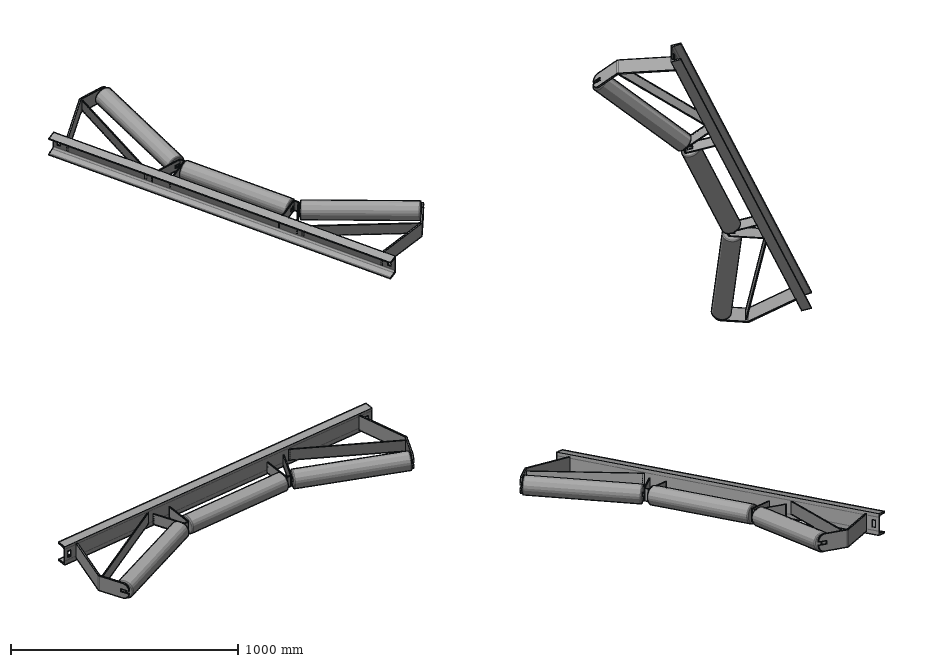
import cadquery as cq
import math

BEAM_LENGTH = 1697.0
BEAM_HEIGHT = 100.0
FLANGE_WIDTH = 46.0
WEB_THICKNESS = 5.0
FLANGE_TIP_THICKNESS = 7.0
FLANGE_ROOT_THICKNESS = 10.0
ROOT_RADIUS = 9.0
TIP_RADIUS = 3.0
BOLT_SLOT_SPACING = 1642.0
BOLT_SLOT_WIDTH = 15.0
BOLT_SLOT_HEIGHT = 32.0

ROLLER_RADIUS = 45.0
ROLLER_LENGTH = 530.0
ROLLER_FILLET = 5.0
SHAFT_RADIUS = 12.0
SHAFT_FLATS = 14.0
PLATE_GAP = 3.0
WING_INNER_GAP = 2.0
TROUGH_ANGLE = 25
FORWARD_TILT = 2
CENTRE_ROLLER_Y = 165.0
CENTRE_ROLLER_Z = 30.0
WING_ROLLER_X = 549.0
WING_ROLLER_Y = 289.0

SLOT_WIDTH = 15.0
OUTER_HEIGHT = 80.0
OUTER_THICKNESS = 7.7
OUTER_REACH = 850
OUTER_LEG_ANGLE = 14.8
OUTER_TOP_LENGTH = 29.0
OUTER_CORNER_RADIUS = 30.0
OUTER_BEND_RADIUS = 14.0
INNER_HEIGHT = 58.0
INNER_BASE_Z = 5.0
INNER_THICKNESS = 5.0
INNER_TOP_Y = 189.0
INNER_BEND_RADIUS = 7.0
BRACE_HEIGHT = 60.0
BRACE_THICKNESS = 5.0
BRACE_ANGLE = 29.7
BRACE_RISE = 5.0

SIDES = (-1, 1)
WING_ROLLER_Z = CENTRE_ROLLER_Z + ROLLER_LENGTH / 2 * math.sin(math.radians(FORWARD_TILT))
PLATE_OFFSET = ROLLER_LENGTH / 2 + PLATE_GAP
COS_TROUGH = math.cos(math.radians(TROUGH_ANGLE))
SIN_TROUGH = math.sin(math.radians(TROUGH_ANGLE))
TAN_TROUGH = math.tan(math.radians(TROUGH_ANGLE))


def make_beam():
    """Channel with tapered flanges and a bolt slot near each end."""
    half = BEAM_HEIGHT / 2
    web_face = FLANGE_WIDTH - WEB_THICKNESS
    beam = (
        cq.Workplane("YZ", origin=(-BEAM_LENGTH / 2, 0, half))
        .moveTo(FLANGE_WIDTH, -half)
        .lineTo(FLANGE_WIDTH, half)
        .lineTo(0, half)
        .lineTo(0, half - FLANGE_TIP_THICKNESS)
        .lineTo(web_face, half - FLANGE_ROOT_THICKNESS)
        .lineTo(web_face, FLANGE_ROOT_THICKNESS - half)
        .lineTo(0, FLANGE_TIP_THICKNESS - half)
        .lineTo(0, -half)
        .close()
        .extrude(BEAM_LENGTH)
    )

    def inner_edges(y, thickness):
        for z in (thickness, BEAM_HEIGHT - thickness):
            yield cq.selectors.NearestToPointSelector((0, y, z))

    for selector in inner_edges(web_face, FLANGE_ROOT_THICKNESS):
        beam = beam.edges("|X").edges(selector).fillet(ROOT_RADIUS)
    for selector in inner_edges(0, FLANGE_TIP_THICKNESS):
        beam = beam.edges("|X").edges(selector).fillet(TIP_RADIUS)
    bolt_slots = (
        cq.Workplane("XZ", origin=(0, 0, half))
        .pushPoints([(side * BOLT_SLOT_SPACING / 2, 0) for side in SIDES])
        .rect(BOLT_SLOT_WIDTH, BOLT_SLOT_HEIGHT)
        .extrude(-FLANGE_WIDTH)
    )
    return beam.cut(bolt_slots)


def roller_plane(side):
    """Frame of a roller: x along its axis, z across the slots. Side 0 is the centre roller."""
    if side == 0:
        return cq.Plane((0, CENTRE_ROLLER_Y, CENTRE_ROLLER_Z), (1, 0, 0), (0, 0, 1))
    plane = cq.Plane((side * WING_ROLLER_X, WING_ROLLER_Y, WING_ROLLER_Z), (1, 0, 0), (0, 0, 1))
    return plane.rotated((0, 0, side * TROUGH_ANGLE)).rotated((0, -side * FORWARD_TILT, 0))


def make_roller(side):
    """Round-edged roller with a shaft whose ends are flattened to sit in the bracket slots."""
    plane = roller_plane(side)
    across = cq.Plane(plane.origin, plane.zDir, plane.xDir)
    shell = (
        cq.Workplane(across)
        .workplane(offset=-ROLLER_LENGTH / 2)
        .circle(ROLLER_RADIUS)
        .extrude(ROLLER_LENGTH)
        .faces("%PLANE")
        .edges()
        .fillet(ROLLER_FILLET)
    )
    shaft_reach = PLATE_OFFSET + INNER_THICKNESS
    shaft = cq.Workplane(across).circle(SHAFT_RADIUS).extrude(shaft_reach, both=True)
    flats = cq.Workplane(plane).box(2 * shaft_reach, 2 * SHAFT_RADIUS, SHAFT_FLATS)
    return shell.union(shaft.intersect(flats))


def shaft_slots(side, depth):
    """Cutter for slots of the given depth at both ends of a roller, bottoming under its shaft."""
    length = 2 * (PLATE_OFFSET + OUTER_THICKNESS + PLATE_GAP)
    return (
        cq.Workplane(roller_plane(side))
        .center(0, depth / 2 - SHAFT_RADIUS)
        .box(length, depth, SLOT_WIDTH)
    )


def mitred_face(path, thickness):
    """Plan path of the opposite face of a bar, on the right of the given path."""
    directions = []
    for (x0, y0), (x1, y1) in zip(path, path[1:]):
        run = math.hypot(x1 - x0, y1 - y0)
        directions.append(((x1 - x0) / run, (y1 - y0) / run))
    befores = [directions[0]] + directions
    afters = directions + [directions[-1]]
    far_face = []
    for (x, y), (ax, ay), (bx, by) in zip(path, befores, afters):
        mitre = thickness / (1 + ax * bx + ay * by)
        far_face.append((x + mitre * (ay + by), y - mitre * (ax + bx)))
    return far_face


def round_bend(bar, corner, radius, side):
    at_corner = cq.selectors.NearestToPointSelector((side * corner[0], corner[1], BEAM_HEIGHT / 2))
    return bar.edges("|Z").edges(at_corner).fillet(radius)


def flat_bar(path, thickness, height, middle_z, side):
    """Upright bar on the plan path of its left face, trimmed at the back of the web."""
    outline = path + mitred_face(path, thickness)[::-1]
    bar = (
        cq.Workplane("XY", origin=(0, 0, middle_z))
        .polyline([(side * x, y) for x, y in outline])
        .close()
        .extrude(height / 2, both=True)
    )
    space_behind_web = (
        cq.Workplane("XY", origin=(0, FLANGE_WIDTH, 0))
        .box(3 * OUTER_REACH, OUTER_REACH, 3 * BEAM_HEIGHT, centered=(True, False, True))
    )
    return bar.intersect(space_behind_web)


def wing_point(along, up):
    """Plan point of the +X wing roller: along its axis outwards and up square to it."""
    return (
        WING_ROLLER_X + along * COS_TROUGH - up * SIN_TROUGH,
        WING_ROLLER_Y + along * SIN_TROUGH + up * COS_TROUGH,
    )


def outer_bracket_path():
    """Outer face of the +X outer bracket in plan, from the free end down to the beam."""
    leg = math.radians(OUTER_LEG_ANGLE)
    wing = math.radians(TROUGH_ANGLE)
    corner_overhang = OUTER_BEND_RADIUS * (math.cos((wing - leg) / 2) / math.cos((wing + leg) / 2) - 1)
    bend_x = OUTER_REACH + corner_overhang
    top = wing_point(PLATE_OFFSET + OUTER_THICKNESS, OUTER_TOP_LENGTH)
    bend = (bend_x, top[1] - (bend_x - top[0]) / TAN_TROUGH)
    foot = (bend_x - bend[1] * math.tan(leg), 0)
    return [top, bend, foot]


def make_outer_bracket(side):
    """Bent bar with a rounded, slotted free end for the outer end of a wing roller."""
    path = outer_bracket_path()
    inner_face = mitred_face(path, OUTER_THICKNESS)
    bracket = flat_bar(path, OUTER_THICKNESS, OUTER_HEIGHT, BEAM_HEIGHT / 2, side)
    plate_normal = cq.Vector(COS_TROUGH, side * SIN_TROUGH, 0)
    free_corners = bracket.edges(cq.selectors.ParallelDirSelector(plate_normal))
    bracket = free_corners.fillet(OUTER_CORNER_RADIUS)
    bracket = round_bend(bracket, path[1], OUTER_BEND_RADIUS, side)
    bracket = round_bend(bracket, inner_face[1], OUTER_BEND_RADIUS - OUTER_THICKNESS, side)
    open_depth = SHAFT_RADIUS + OUTER_TOP_LENGTH + OUTER_THICKNESS
    return bracket.cut(shaft_slots(side, open_depth))


def make_inner_bracket(side):
    """Folded bar carrying the inner wing roller end and one end of the centre roller."""
    face_x, face_y = wing_point(-ROLLER_LENGTH / 2 - WING_INNER_GAP - INNER_THICKNESS, 0)
    shoulder = (face_x + (face_y - INNER_TOP_Y) * TAN_TROUGH, INNER_TOP_Y)
    wing_foot = (face_x + face_y * TAN_TROUGH, 0)
    path = [(PLATE_OFFSET, 0), (PLATE_OFFSET, INNER_TOP_Y), shoulder, wing_foot]
    bracket = flat_bar(path, INNER_THICKNESS, INNER_HEIGHT, INNER_BASE_Z + INNER_HEIGHT / 2, side)
    for corner in path[1:3]:
        bracket = round_bend(bracket, corner, INNER_BEND_RADIUS, side)
    closed_depth = 2 * SHAFT_RADIUS
    return bracket.cut(shaft_slots(0, closed_depth)).cut(shaft_slots(side, closed_depth))


def make_brace(side):
    """Diagonal bar from the outer bracket down to the beam."""
    bend_x, bend_y = mitred_face(outer_bracket_path(), OUTER_THICKNESS)[1]
    end_x = bend_x - BRACE_RISE * SIN_TROUGH
    end_y = bend_y + BRACE_RISE * COS_TROUGH
    foot_x = end_x - end_y / math.tan(math.radians(BRACE_ANGLE))
    brace = flat_bar([(end_x, end_y), (foot_x, 0)], BRACE_THICKNESS, BRACE_HEIGHT, BEAM_HEIGHT / 2, side)
    return brace.cut(make_outer_bracket(side))


beam = make_beam()
rollers = [make_roller(side) for side in (0, *SIDES)]
outer_brackets = [make_outer_bracket(side) for side in SIDES]
inner_brackets = [make_inner_bracket(side) for side in SIDES]
braces = [make_brace(side) for side in SIDES]

bodies = [beam, *rollers, *outer_brackets, *inner_brackets, *braces]
result = cq.Compound.makeCompound([body.val() for body in bodies])